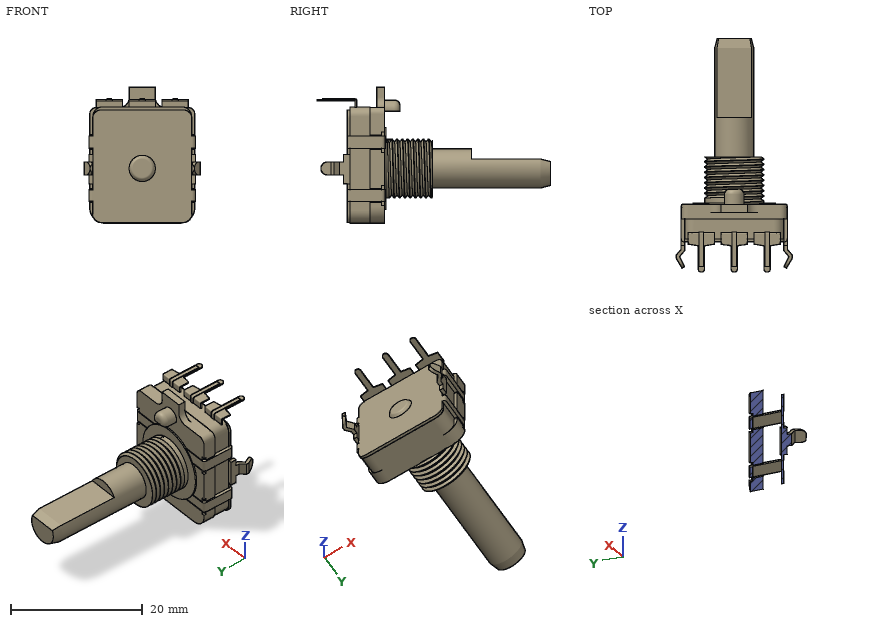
import cadquery as cq
import math


body_top = 9.35
body_bottom = -8.35
cover_top = 8.9
cover_bottom = -8.25

front_half_width = 8.0
front_top = 9.27
front_depth = 2.2
front_top_radius = 1.0
front_bottom_radius = 2.4
housing_half_width = 7.5
housing_back = -5.27
housing_top_radius = 1.45
housing_bottom_radius = 1.85
cover_half_width = 7.55
cover_back = -5.7
cover_radius = 1.3

bump_radius = 2.0
bump_height = 0.5
bump_bevel = 0.4
bump_edge_radius = 0.4

strap_half_width = 8.1
strap_front = 0.1
strap_thickness = strap_half_width - cover_half_width
strap_bend_radius = 0.5
strap_clearance = 0.15
strap_spans = [(3.05, 4.95), (-5.0, -3.2)]
recess_depth = 0.45
recess_margin = 0.6

snap_base_top = 2.15
snap_base_bottom = -2.35
snap_base_back = -6.27
snap_half_width = 1.0
snap_reach = 8.85
snap_tip = -9.7
snap_bow_start = -6.85
snap_crest_start = -7.7
snap_crest_end = -8.15
snap_tip_inner = 7.55
snap_tip_outer = 7.95
snap_crest_thickness = 0.55
snap_bend_shift = 0.15
snap_tip_bevel = 0.25

pin_pitch = 5.0
pin_count = 3
pin_width = 1.0
pin_top = 10.5
pin_tip = -10.3
lead_thickness = 0.22
lead_front = -4.3
lead_foot = 9.3
lead_bend_radius = 0.2
bead_bend_radius = 0.3
shoulder_width = 4.0
shoulder_back = -6.05
shoulder_end = -6.3
bead_width = 0.7
bead_height = 0.1
bead_back = -9.45

tab_half_width = 2.0
tab_top = 12.35
tab_thickness = 1.2
tab_root_radius = 1.5
peg_radius = 1.5
peg_axis_height = 8.9
peg_bottom = 8.67
peg_length = 2.35
peg_tip_radius = 0.8

flange_radius = 6.25
mount_face = 0.25
bushing_length = 7.0
bushing_end = mount_face + bushing_length
thread_radius = 4.5
root_radius = 4.05
thread_pitch = 0.8
groove_width = 0.79
blank_extra_turns = 4
groove_overcut = 0.05
groove_start_angle = 75.0
groove_start = 0.73

shaft_radius = 3.0
shaft_length = 25.0
shaft_end = mount_face + shaft_length
flat_length = 12.0
flat_height = 1.45
tip_length = 1.5
tip_taper = 15.0


def facing_back(y):
    """Sketch plane at the given Y: local axes are X and Z, extrusion goes to -Y."""
    return cq.Workplane("XZ", origin=(0, y, 0))


def box(x_span, y_span, z_span):
    """Box between the given limits along each axis."""
    size = [span[1] - span[0] for span in (x_span, y_span, z_span)]
    corner = (x_span[0], y_span[0], z_span[0])
    return cq.Workplane("XY").box(*size, centered=False).translate(corner)


def rod(radius, y_back, y_front):
    """Cylinder on the shaft axis."""
    return facing_back(y_front).circle(radius).extrude(y_front - y_back)


def mirrored(shape):
    """The shape together with its mirror image in X."""
    return shape.union(shape.mirror("YZ"))


def layer(half_width, top, bottom, front, back, top_radius, bottom_radius):
    """Body slice with its own radii on the upper and lower corners."""
    block = box((-half_width, half_width), (back, front), (bottom, top))
    block = block.edges("|Y and >Z").fillet(top_radius)
    return block.edges("|Y and <Z").fillet(bottom_radius)


def make_front_section():
    section = layer(front_half_width, front_top, body_bottom, 0, -front_depth,
                    front_top_radius, front_bottom_radius)
    for low, high in strap_spans:
        channel = box((housing_half_width, strap_half_width), (-front_depth, 0),
                      (low - strap_clearance, high + strap_clearance))
        recess = box((housing_half_width, strap_half_width), (-recess_depth, 0),
                     (low - recess_margin, high + recess_margin))
        section = section.cut(mirrored(channel.union(recess)))
    return section


def make_bump():
    top_radius = bump_radius - bump_bevel
    bump = facing_back(cover_back).circle(bump_radius)
    bump = bump.workplane(offset=bump_height).circle(top_radius).loft()
    return bump.faces("<Y").edges().fillet(bump_edge_radius)


def make_body():
    housing = layer(housing_half_width, body_top, body_bottom, -front_depth, housing_back,
                    housing_top_radius, housing_bottom_radius)
    cover = layer(cover_half_width, cover_top, cover_bottom, housing_back, cover_back,
                  cover_radius, cover_radius)
    return make_front_section().union(housing).union(cover).union(make_bump())


def make_strap(low, high):
    """U-shaped band across the front face and down both sides of the body."""
    outer = box((-strap_half_width, strap_half_width), (cover_back, strap_front), (low, high))
    outer = outer.edges("|Z").fillet(strap_bend_radius)
    inner_half_width = strap_half_width - strap_thickness
    inner = box((-inner_half_width, inner_half_width),
                (cover_back, strap_front - strap_thickness), (low, high))
    return outer.cut(inner)


def make_snap():
    """Snap leg on the +X side: bowed outwards, with a rounded tip."""
    inner = housing_half_width
    outer = strap_half_width
    base = box((inner, outer), (snap_base_back, housing_back), (snap_base_bottom, snap_base_top))
    bowed = (
        cq.Workplane("XY", origin=(0, 0, -snap_half_width))
        .moveTo(inner, snap_base_back)
        .lineTo(inner, snap_bow_start - snap_bend_shift)
        .lineTo(snap_reach - snap_crest_thickness, (snap_crest_start + snap_crest_end) / 2)
        .lineTo(snap_tip_inner, snap_tip + snap_tip_bevel)
        .lineTo(snap_tip_outer, snap_tip)
        .lineTo(snap_reach, snap_crest_end)
        .lineTo(snap_reach, snap_crest_start)
        .lineTo(outer, snap_bow_start)
        .lineTo(outer, snap_base_back)
        .close()
        .extrude(2 * snap_half_width)
    )
    rounded = (
        cq.Workplane("YZ")
        .moveTo(snap_base_back, -snap_half_width)
        .lineTo(snap_tip + snap_half_width, -snap_half_width)
        .threePointArc((snap_tip, 0), (snap_tip + snap_half_width, snap_half_width))
        .lineTo(snap_base_back, snap_half_width)
        .close()
        .extrude(snap_reach)
    )
    return base.union(bowed.intersect(rounded))


def round_bend(lead, radius):
    """Round the outer corner where a lead turns from the body to the rear."""
    return lead.edges("|X and >Y and >Z").fillet(radius)


def make_pin():
    """Bent solder pin with a wide shoulder and a raised stiffening bead, at X = 0."""
    half_shoulder = shoulder_width / 2
    half_pin = pin_width / 2
    leg = box((-half_shoulder, half_shoulder), (lead_front - lead_thickness, lead_front),
              (lead_foot, pin_top))
    blade = (
        cq.Workplane("XY", origin=(0, 0, pin_top - lead_thickness))
        .moveTo(-half_shoulder, lead_front)
        .lineTo(-half_shoulder, shoulder_back)
        .lineTo(-half_pin, shoulder_end)
        .lineTo(-half_pin, pin_tip + half_pin)
        .threePointArc((0, pin_tip), (half_pin, pin_tip + half_pin))
        .lineTo(half_pin, shoulder_end)
        .lineTo(half_shoulder, shoulder_back)
        .lineTo(half_shoulder, lead_front)
        .close()
        .extrude(lead_thickness)
    )
    metal = round_bend(leg.union(blade), lead_bend_radius)
    bead_x_span = (-bead_width / 2, bead_width / 2)
    bead_front = lead_front + bead_height
    bead = box(bead_x_span, (bead_back, bead_front), (pin_top - lead_thickness, pin_top + bead_height))
    bead_leg = box(bead_x_span, (lead_front - lead_thickness, bead_front), (lead_foot, pin_top))
    return metal.union(round_bend(bead.union(bead_leg), bead_bend_radius))


def make_tab():
    """Anti-rotation tab with concave roots on the top of the body."""
    foot = tab_half_width + tab_root_radius
    shoulder = front_top + tab_root_radius
    bulge = tab_root_radius * (1 - math.sqrt(0.5))
    return (
        facing_back(0)
        .moveTo(-foot, front_top)
        .threePointArc((-tab_half_width - bulge, front_top + bulge), (-tab_half_width, shoulder))
        .lineTo(-tab_half_width, tab_top)
        .lineTo(tab_half_width, tab_top)
        .lineTo(tab_half_width, shoulder)
        .threePointArc((tab_half_width + bulge, front_top + bulge), (foot, front_top))
        .close()
        .extrude(tab_thickness)
    )


def make_peg():
    """Round peg pointing forward from the tab, cut flat underneath."""
    peg = facing_back(peg_length).center(0, peg_axis_height).circle(peg_radius)
    peg = peg.extrude(peg_length + tab_thickness)
    peg = peg.faces(">Y").edges().fillet(peg_tip_radius)
    keep = box((-peg_radius, peg_radius), (-tab_thickness, peg_length), (peg_bottom, tab_top))
    return peg.intersect(keep)


def make_thread_groove():
    """Right-hand helical V groove, reaching past the bushing end."""
    mouth_radius = thread_radius + groove_overcut
    turns_length = bushing_length + thread_pitch
    helix = cq.Workplane(cq.Wire.makeHelix(thread_pitch, turns_length, root_radius))
    groove = (
        cq.Workplane("XZ")
        .moveTo(root_radius, 0)
        .lineTo(mouth_radius, groove_width / 2)
        .lineTo(mouth_radius, -groove_width / 2)
        .close()
        .sweep(helix, isFrenet=True)
    )
    return groove.rotate((0, 0, 0), (1, 0, 0), -90).translate((0, groove_start, 0))


def make_bushing():
    blank_end = bushing_end + blank_extra_turns * thread_pitch
    blank = rod(thread_radius, 0, blank_end).rotate((0, 0, 0), (0, 1, 0), 180)
    threaded = blank.cut(make_thread_groove())
    trim = box((-flange_radius, flange_radius), (0, bushing_end), (-flange_radius, flange_radius))
    threaded = threaded.intersect(trim).rotate((0, 0, 0), (0, 1, 0), -groove_start_angle)
    flange = rod(flange_radius, -recess_depth, mount_face)
    return threaded.union(flange)


def make_shaft():
    """Round shaft with a D-section front part and a tapered tip."""
    flat_start = shaft_end - flat_length
    tip_start = shaft_end - tip_length
    half_chord = math.sqrt(shaft_radius**2 - flat_height**2)
    d_section = (
        cq.Sketch()
        .segment((half_chord, flat_height), (-half_chord, flat_height))
        .arc((-half_chord, flat_height), (0, -shaft_radius), (half_chord, flat_height))
        .assemble()
    )
    round_part = rod(shaft_radius, 0, flat_start)
    flat_part = facing_back(tip_start).placeSketch(d_section).extrude(tip_start - flat_start)
    tip = facing_back(tip_start).placeSketch(d_section).extrude(-tip_length, taper=tip_taper)
    return round_part.union(flat_part).union(tip)


result = make_body()
for span in strap_spans:
    result = result.union(make_strap(*span))
result = result.union(mirrored(make_snap()))
for index in range(pin_count):
    offset = (index - (pin_count - 1) / 2) * pin_pitch
    result = result.union(make_pin().translate((offset, 0, 0)))
result = result.union(make_tab()).union(make_peg())
result = result.union(make_bushing()).union(make_shaft())